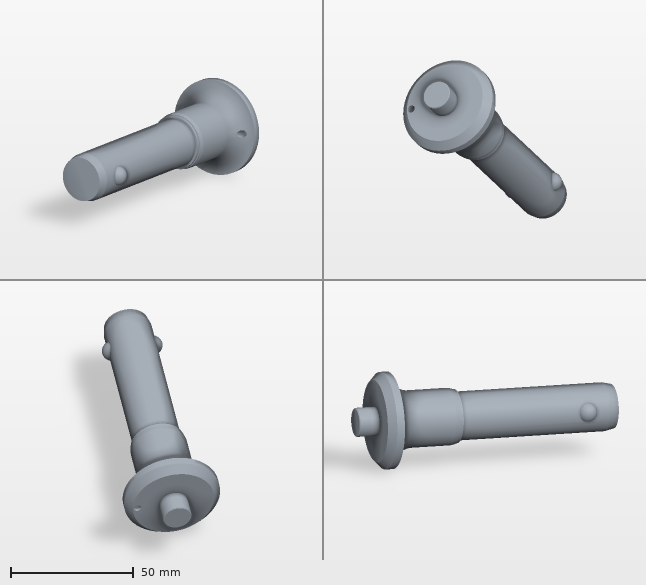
import cadquery as cq
import math

total_length = 110.1
tip_length = 4.0
ball_position = 13.3
shank_end = 67.2
collar_length = 1.3
sleeve_taper_length = 2.0
flare_start = 87.1
flange_top = 101.6
flange_chamfer = 3.1

flange_radius = 19.98
sleeve_radius = 11.8
sleeve_end_radius = 11.5
collar_radius = 11.1
shank_radius = 10.0
tip_radius = 9.1
button_radius = 6.0

button_edge_chamfer = 0.3
ball_radius = 4.0
ball_reach = 12.5
lanyard_hole_diameter = 3.1
lanyard_hole_offset = 15.0

flare_radius = flange_radius - sleeve_radius
flange_bottom = flare_start + flare_radius
flare_middle = (
    flange_radius - flare_radius * math.cos(math.radians(45)),
    flare_start + flare_radius * math.sin(math.radians(45)),
)


def make_body():
    """Revolve the stepped pin, sleeve, flange and push button about Y."""
    collar_end = shank_end + collar_length
    return (
        cq.Workplane("XY")
        .lineTo(tip_radius, 0)
        .lineTo(shank_radius, tip_length)
        .lineTo(shank_radius, shank_end)
        .lineTo(collar_radius, shank_end)
        .lineTo(collar_radius, collar_end)
        .lineTo(sleeve_end_radius, collar_end)
        .lineTo(sleeve_radius, collar_end + sleeve_taper_length)
        .lineTo(sleeve_radius, flare_start)
        .threePointArc(flare_middle, (flange_radius, flange_bottom))
        .lineTo(flange_radius, flange_top - flange_chamfer)
        .lineTo(flange_radius - flange_chamfer, flange_top)
        .lineTo(button_radius, flange_top)
        .lineTo(button_radius, total_length - button_edge_chamfer)
        .lineTo(button_radius - button_edge_chamfer, total_length)
        .lineTo(0, total_length)
        .close()
        .revolve(360, (0, 0, 0), (0, 1, 0))
    )


def make_ball(side):
    """Locking ball partly sunk in the shank; side is -1 or +1 along X."""
    center_x = side * (ball_reach - ball_radius)
    return cq.Workplane("XY").sphere(ball_radius).translate((center_x, ball_position, 0))


def make_lanyard_hole():
    """Cutter parallel to the pin axis, passing through the flange."""
    return (
        cq.Workplane("XZ", origin=(lanyard_hole_offset, flange_top, 0))
        .circle(lanyard_hole_diameter / 2)
        .extrude(flange_top - flare_start)
    )


pin = make_body()
for side in (-1, 1):
    pin = pin.union(make_ball(side))
pin = pin.cut(make_lanyard_hole())

result = pin.translate((0, -total_length / 2, 0))